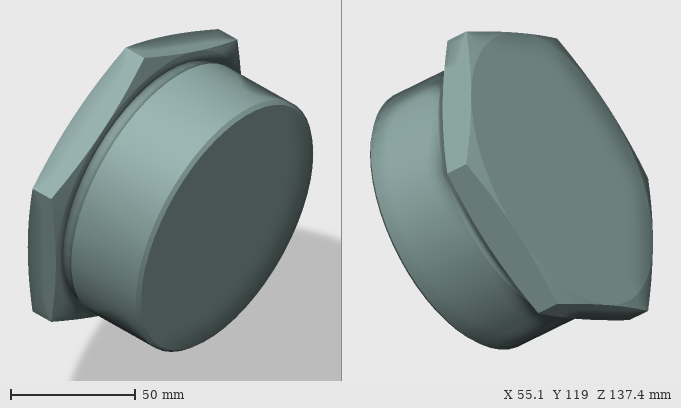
import cadquery as cq
import math

corner_to_corner = 137.4
across_flats = corner_to_corner * math.cos(math.radians(30))
head_thickness = 14.5
head_chamfer_angle = 15.0
cone_overrun = 1.4

total_length = 55.1
neck_length = 4.1
plug_diameter = 113.0
plug_chamfer = 1.5
neck_diameter = plug_diameter - 2 * plug_chamfer


def make_head():
    """Hexagon with both faces chamfered conically down to the across-flats circle."""
    hexagon = (
        cq.Workplane("YZ")
        .polygon(6, corner_to_corner)
        .extrude(head_thickness)
        .rotate((0, 0, 0), (1, 0, 0), 90)
    )
    corner_radius = corner_to_corner / 2
    face_radius = across_flats / 2
    cone_radius = corner_radius + cone_overrun
    cone_depth = (cone_radius - face_radius) * math.tan(math.radians(head_chamfer_angle))
    chamfer_envelope = (
        cq.Workplane("XY")
        .moveTo(0, 0)
        .lineTo(0, face_radius)
        .lineTo(cone_depth, cone_radius)
        .lineTo(head_thickness - cone_depth, cone_radius)
        .lineTo(head_thickness, face_radius)
        .lineTo(head_thickness, 0)
        .close()
        .revolve(360, (0, 0, 0), (1, 0, 0))
    )
    return hexagon.intersect(chamfer_envelope)


def make_neck():
    """Relief groove between the head and the plug."""
    return (
        cq.Workplane("YZ", origin=(head_thickness, 0, 0))
        .circle(neck_diameter / 2)
        .extrude(neck_length)
    )


def make_plug():
    """Cylindrical plug with both end edges chamfered."""
    plug_start = head_thickness + neck_length
    return (
        cq.Workplane("YZ", origin=(plug_start, 0, 0))
        .circle(plug_diameter / 2)
        .extrude(total_length - plug_start)
        .faces("<X or >X")
        .chamfer(plug_chamfer)
    )


result = make_head().union(make_neck()).union(make_plug())